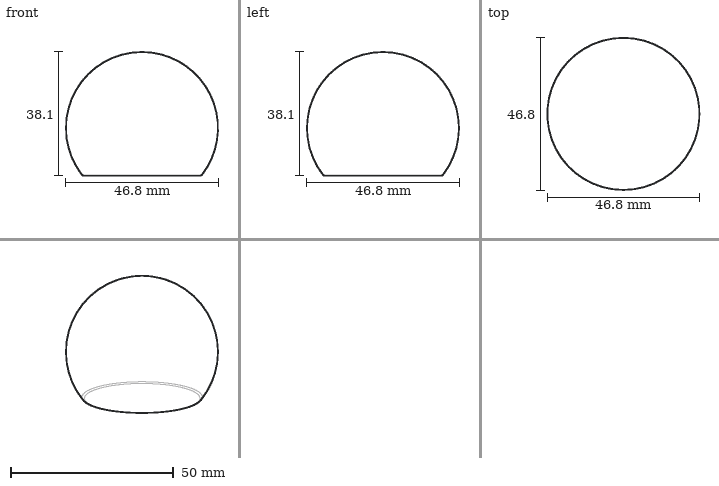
import cadquery as cq

ball_diameter = 46.8
total_height = 38.1
edge_round = 0.95

ball_radius = ball_diameter / 2
base_z = ball_radius - total_height

ball = cq.Workplane("XY").sphere(ball_radius)
keep_block = (
    cq.Workplane("XY")
    .workplane(offset=base_z)
    .rect(ball_diameter, ball_diameter)
    .extrude(total_height)
)

result = ball.intersect(keep_block).faces("<Z").edges().fillet(edge_round)